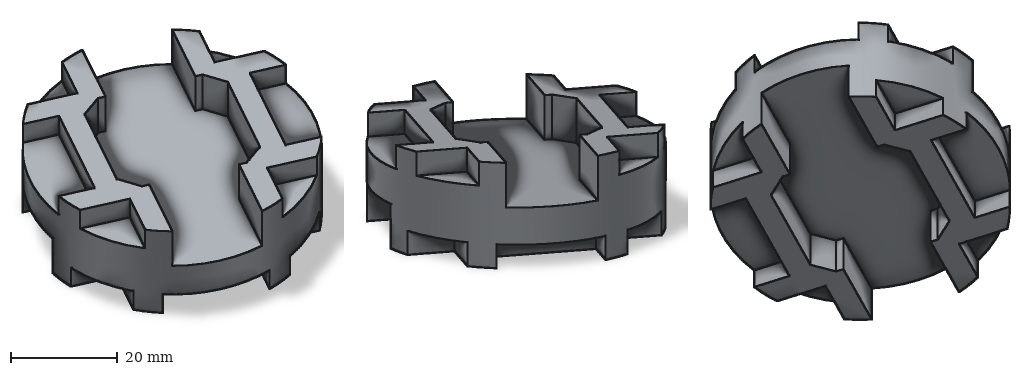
import cadquery as cq

diameter = 56.0
height = 20.7
radius = diameter / 2

slot_width = 17.7
web_thickness = 3.25
slot_depth = (height - web_thickness) / 2
recess_length = 25.75
recess_width = 28.2
recess_end_length = 18.9
recess_side_width = 20.6

rib_thickness = 4.7
radial_rib_thickness = 4.9
pocket_depth = 4.7
middle_pocket_length = 21.05
middle_pocket_y = recess_width / 2 + rib_thickness
corner_pocket_x = middle_pocket_length / 2 + radial_rib_thickness
corner_pocket_y = slot_width / 2 + rib_thickness


def top_box(x_start, x_end, y_start, y_end, depth):
    """Box cutting down from the top face between the given X and Y limits."""
    return (
        cq.Workplane("XY")
        .box(x_end - x_start, y_end - y_start, depth, centered=False)
        .translate((x_start, y_start, height / 2 - depth))
    )


def recess():
    """Octagonal recess, as deep as the slot."""
    x_side, y_side = recess_length / 2, recess_side_width / 2
    x_end, y_end = recess_end_length / 2, recess_width / 2
    return (
        cq.Workplane("XY", origin=(0, 0, height / 2 - slot_depth))
        .polyline([
            (x_side, y_side), (x_end, y_end), (-x_end, y_end), (-x_side, y_side),
            (-x_side, -y_side), (-x_end, -y_end), (x_end, -y_end), (x_side, -y_side),
        ])
        .close()
        .extrude(slot_depth)
    )


def rim_pockets():
    """Middle pocket and two corner pockets on the +Y half of the top face."""
    half_middle = middle_pocket_length / 2
    middle = top_box(-half_middle, half_middle, middle_pocket_y, radius, pocket_depth)
    corner = top_box(corner_pocket_x, radius, corner_pocket_y, radius, pocket_depth)
    return middle.union(corner).union(corner.mirror("YZ"))


def face_cut():
    """Everything removed from the top face, with its slot along X."""
    slot = top_box(-radius, radius, -slot_width / 2, slot_width / 2, slot_depth)
    pockets = rim_pockets()
    return slot.union(recess()).union(pockets).union(pockets.mirror("XZ"))


top_cut = face_cut()
bottom_cut = top_cut.mirror("XY").rotate((0, 0, 0), (0, 0, 1), 90)

result = cq.Workplane("XY").cylinder(height, radius).cut(top_cut).cut(bottom_cut)